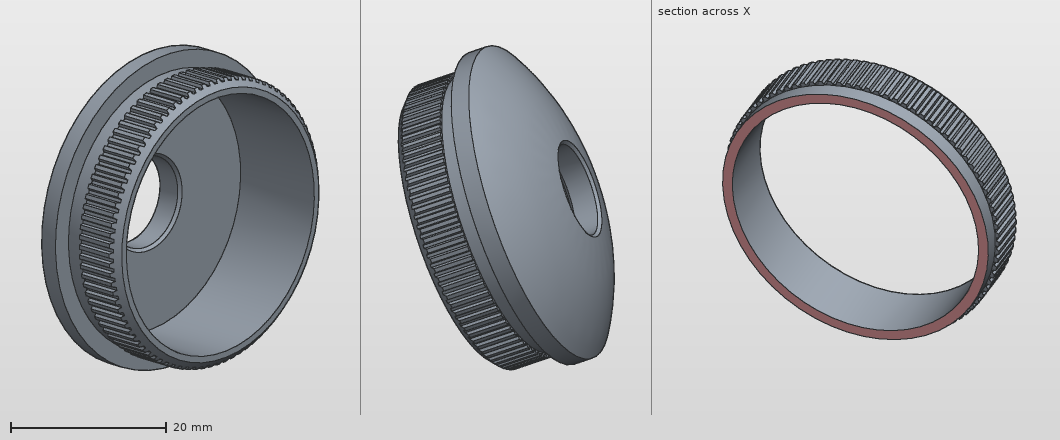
import cadquery as cq
import math

DOME_HEIGHT = 5.75
FLANGE_THICKNESS = 2.5
NECK_LENGTH = 2.5
KNURL_LENGTH = 6.5
FLANGE_START = DOME_HEIGHT
FLANGE_END = FLANGE_START + FLANGE_THICKNESS
KNURL_START = FLANGE_END + NECK_LENGTH
KNURL_END = KNURL_START + KNURL_LENGTH

FLANGE_RADIUS = 42.4 / 2
NECK_RADIUS = 18.8
KNURL_RADIUS = 19.35
END_CHAMFER = 1.15
DOME_ARC_RADIUS = 32.5

BORE_RADIUS = 6.15
BORE_CHAMFER = 0.4
BORE_MOUTH_RADIUS = BORE_RADIUS + BORE_CHAMFER
CAVITY_START = 4.0
SKIRT_WALL = 2.0
CAVITY_RADIUS = KNURL_RADIUS - SKIRT_WALL

GROOVE_COUNT = 90
GROOVE_DEPTH = 0.4
GROOVE_ROOT_WIDTH = 0.42
GROOVE_FLANK_ANGLE = 26.0
GROOVE_OVERCUT = 0.1


def dome_midpoint():
    """Point halfway along the dome arc, as (x, radius)."""
    chord_x = FLANGE_START
    chord_r = FLANGE_RADIUS - BORE_MOUTH_RADIUS
    chord = math.hypot(chord_x, chord_r)
    sagitta = DOME_ARC_RADIUS - math.sqrt(DOME_ARC_RADIUS**2 - (chord / 2) ** 2)
    mid_x = chord_x / 2 - sagitta * chord_r / chord
    mid_r = (FLANGE_RADIUS + BORE_MOUTH_RADIUS) / 2 + sagitta * chord_x / chord
    return mid_x, mid_r


def turned_body():
    """Hollow cap revolved about the X axis."""
    profile = (
        cq.Workplane("XZ")
        .moveTo(0, BORE_MOUTH_RADIUS)
        .threePointArc(dome_midpoint(), (FLANGE_START, FLANGE_RADIUS))
        .lineTo(FLANGE_END, FLANGE_RADIUS)
        .lineTo(FLANGE_END, NECK_RADIUS)
        .lineTo(KNURL_START, NECK_RADIUS)
        .lineTo(KNURL_START, KNURL_RADIUS)
        .lineTo(KNURL_END - END_CHAMFER, KNURL_RADIUS)
        .lineTo(KNURL_END, KNURL_RADIUS - END_CHAMFER)
        .lineTo(KNURL_END, CAVITY_RADIUS)
        .lineTo(CAVITY_START, CAVITY_RADIUS)
        .lineTo(CAVITY_START, BORE_MOUTH_RADIUS)
        .lineTo(CAVITY_START - BORE_CHAMFER, BORE_RADIUS)
        .lineTo(BORE_CHAMFER, BORE_RADIUS)
        .close()
    )
    return profile.revolve(360, (0, 0, 0), (1, 0, 0))


def knurl_grooves():
    """All groove cutters, evenly spaced around the knurled band."""
    root = KNURL_RADIUS - GROOVE_DEPTH
    top = KNURL_RADIUS + GROOVE_OVERCUT
    flank_spread = (top - root) * math.tan(math.radians(GROOVE_FLANK_ANGLE))
    half_root = GROOVE_ROOT_WIDTH / 2
    half_top = half_root + flank_spread
    cutter = (
        cq.Workplane("YZ", origin=(KNURL_START, 0, 0))
        .moveTo(-half_root, root)
        .lineTo(half_root, root)
        .lineTo(half_top, top)
        .lineTo(-half_top, top)
        .close()
        .extrude(KNURL_LENGTH)
        .val()
    )
    pitch_angle = 360 / GROOVE_COUNT
    cutters = [
        cutter.rotate((0, 0, 0), (1, 0, 0), index * pitch_angle)
        for index in range(GROOVE_COUNT)
    ]
    return cq.Compound.makeCompound(cutters)


result = turned_body().cut(cq.Workplane(knurl_grooves()))